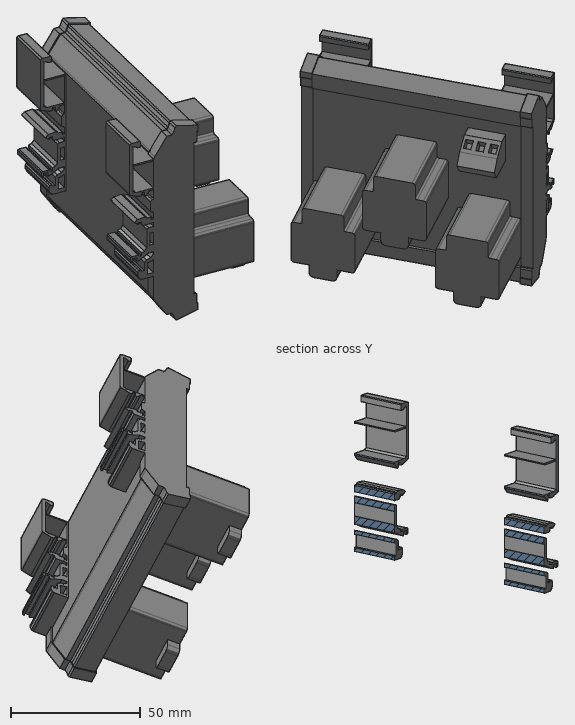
import cadquery as cq
import math

LENGTH = 93.4
HEIGHT = 86.8
CAP_THICKNESS = 4.7
CAP_FACE_Y = 17.65
LIP_Z = 33.7
TROUGH_BACK_Y = 0.7
CAP_INNER_X = LENGTH / 2 - CAP_THICKNESS

CAP_HALF_OUTLINE = [
    (0.0, 31.1), (0.5, 32.0), (5.8, 39.8), (7.9, 39.8), (8.6, 40.7), (9.2, 42.6), (9.9, HEIGHT / 2),
    (19.2, 41.1), (19.2, 38.3), (18.9, 38.2), (18.9, 34.2), (18.4, LIP_Z), (CAP_FACE_Y, LIP_Z),
]
TROUGH_HALF_OUTLINE = [
    (TROUGH_BACK_Y, 31.4), (1.0, 32.0), (6.35, 39.6), (8.2, 39.6), (8.9, 40.4), (9.4, 42.1),
    (10.1, 42.7), (18.8, 40.5), (18.8, LIP_Z), (CAP_FACE_Y, LIP_Z),
]

CLIP_LENGTH = 19.7
CLIP_BACK_Y = -10.5
CLIP_FOOT_Z = -21.1
HOOK_WALL = 1.5
HOOK_WEB_TOP_Z = 31.0
HOOK_WEB_THICKNESS = 0.7
HOOK_INNER_Y = CLIP_BACK_Y + HOOK_WALL

HOOK_OUTLINE = [
    (0.0, 18.3), (-7.75, 18.3), (-9.0, 19.0), (HOOK_INNER_Y, 39.0), (-7.9, 38.7), (-7.0, 38.1),
    (-5.7, 38.1), (-5.7, 40.35), (-6.1, 40.7), (-9.6, 40.7), (CLIP_BACK_Y, 40.2),
    (CLIP_BACK_Y, 18.4), (-10.3, 17.7), (-6.5, 16.25), (-5.4, 16.25), (-4.95, 17.5), (-4.0, 17.5),
    (-4.0, 15.9), (-3.5, 15.4), (-1.8, 17.5), (0.0, 17.65),
]
STOP_OUTLINE = [(0.0, 13.45), (-0.7, 13.3), (-1.4, 12.5), (-1.4, 8.2), (0.0, 7.4)]
FINGER_OUTLINE = [
    (0.0, 4.5), (-0.9, 4.5), (-0.9, 5.5), (-2.9, 5.6), (-3.0, 6.0), (-3.7, 6.35), (-7.0, 6.1),
    (-8.4, 5.0), (-6.5, 3.7), (-6.35, 4.5), (-5.3, 4.5), (-5.2, 3.6), (-4.6, 2.8), (0.0, 2.8),
]
BRACKET_OUTLINE = [
    (0.0, 1.2), (-2.15, 1.1), (-3.0, 0.7), (-3.0, -7.6), (-4.0, -8.9), (-5.2, -9.2),
    (-5.3, -10.5), (-6.2, -10.5), (-6.4, -9.8), (-9.5, -9.8), (-10.0, -10.2), (-10.0, -12.0),
    (-9.2, -12.5), (-9.1, -10.8), (-7.3, -10.8), (-7.3, -12.5), (-6.5, -12.3), (-2.15, -10.2),
    (0.0, -10.2),
]
BRACKET_WINDOW = [(0.0, -1.5), (-1.7, -1.5), (-1.7, -6.8), (0.0, -6.8)]
FOOT_OUTLINE = [
    (0.0, -11.1), (-1.3, -12.4), (-3.1, -13.0), (-4.0, -13.8), (-4.0, -17.5), (-5.2, -17.4),
    (-5.4, -16.8), (-6.35, -16.9), (-6.7, -17.7), (-6.7, -19.2), (-6.2, -20.55),
    (-5.3, CLIP_FOOT_Z), (0.0, CLIP_FOOT_Z),
]
FOOT_WINDOW = [(0.0, -13.8), (-2.7, -14.5), (-2.7, -19.4), (0.0, -19.4)]

BOARD_THICKNESS = 1.7

CONNECTOR_WIDTH = 25.8
CONNECTOR_HEIGHT = 26.6
CONNECTOR_DEPTH = 28.5
CONNECTOR_CROWN_WIDTH = 16.8
CONNECTOR_CROWN_HEIGHT = 7.6
CONNECTOR_CORNER_RADIUS = 1.2
CONNECTOR_STEP_RADIUS = 0.8
STEP_MARGIN = 0.5
CONNECTOR_TAB_WIDTH = 11.2
CONNECTOR_TAB_DROP = 5.6
CONNECTOR_TAB_THICKNESS = 5.1
CONNECTOR_TAB_RADIUS = 2.1
OUTER_CONNECTOR_X = CAP_INNER_X - CONNECTOR_WIDTH / 2
MIDDLE_CONNECTOR_X = 0.3
OUTER_CONNECTOR_TOP_Z = -3.4
MIDDLE_CONNECTOR_TOP_Z = 18.2
CONNECTOR_PLACES = [
    (-OUTER_CONNECTOR_X, OUTER_CONNECTOR_TOP_Z),
    (MIDDLE_CONNECTOR_X, MIDDLE_CONNECTOR_TOP_Z),
    (OUTER_CONNECTOR_X, OUTER_CONNECTOR_TOP_Z),
]

TERMINAL_X = -28.2
TERMINAL_WIDTH = 15.1
SLOPE_START = (22.6, 27.8)
SLOPE_END = (28.8, 23.9)
TERMINAL_NOSE = (32.3, 19.7)
TERMINAL_UNDERSIDE = (29.7, 15.5)
WIRE_COUNT = 3
WIRE_PITCH = 5.0
WIRE_HOLE_WIDTH = 3.0
WIRE_HOLE_LENGTH = 3.7
WIRE_HOLE_DEPTH = 3.9


def block(x_range, y_range, z_range):
    """Box spanning the given ranges."""
    size = [high - low for low, high in (x_range, y_range, z_range)]
    return cq.Workplane("XY").box(*size, centered=False).translate((x_range[0], y_range[0], z_range[0]))


def prism(outline, start_x, length):
    """Extrude a (y, z) outline along +X."""
    return cq.Workplane("YZ", origin=(start_x, 0, 0)).polyline(outline).close().extrude(length)


def mirrored_prism(half_outline, start_x, length):
    """Extrude an outline whose lower half mirrors the given upper half."""
    lower_half = [(y, -z) for y, z in reversed(half_outline)]
    return prism(half_outline + lower_half, start_x, length)


def clip(start_x):
    """Rail clip: hook, stop, finger, bracket and foot on a thin pad."""
    pad = block((start_x, start_x + CLIP_LENGTH), (0, TROUGH_BACK_Y), (CLIP_FOOT_Z, HOOK_WEB_TOP_Z))
    web = block(
        (start_x, start_x + CLIP_LENGTH),
        (HOOK_INNER_Y, 0),
        (HOOK_WEB_TOP_Z - HOOK_WEB_THICKNESS, HOOK_WEB_TOP_Z),
    )
    body = pad.union(web)
    for outline in (HOOK_OUTLINE, STOP_OUTLINE, FINGER_OUTLINE, BRACKET_OUTLINE, FOOT_OUTLINE):
        body = body.union(prism(outline, start_x, CLIP_LENGTH))
    for window in (BRACKET_WINDOW, FOOT_WINDOW):
        body = body.cut(prism(window, start_x, CLIP_LENGTH))
    return body


def board():
    """Circuit board lying between the end caps, flush with their face."""
    return block(
        (-CAP_INNER_X, CAP_INNER_X),
        (CAP_FACE_Y - BOARD_THICKNESS, CAP_FACE_Y),
        (-LIP_Z, LIP_Z),
    )


def build_housing():
    """Trough with an end cap and a rail clip at each end, recessed for the board."""
    housing = mirrored_prism(TROUGH_HALF_OUTLINE, -CAP_INNER_X, 2 * CAP_INNER_X)
    for cap_start in (-LENGTH / 2, CAP_INNER_X):
        housing = housing.union(mirrored_prism(CAP_HALF_OUTLINE, cap_start, CAP_THICKNESS))
    for clip_start in (-LENGTH / 2, LENGTH / 2 - CLIP_LENGTH):
        housing = housing.union(clip(clip_start))
    return housing.cut(board())


def connector(center_x, top_z):
    """Plug connector: a stepped block with a latch tab below its outer end."""
    half_width = CONNECTOR_WIDTH / 2
    half_crown = CONNECTOR_CROWN_WIDTH / 2
    shoulder_z = top_z - CONNECTOR_CROWN_HEIGHT
    bottom_z = top_z - CONNECTOR_HEIGHT
    end_y = CAP_FACE_Y + CONNECTOR_DEPTH
    base = block(
        (center_x - half_width, center_x + half_width), (CAP_FACE_Y, end_y), (bottom_z, shoulder_z)
    )
    crown = block(
        (center_x - half_crown, center_x + half_crown), (CAP_FACE_Y, end_y), (shoulder_z, top_z)
    )
    step_edges = cq.selectors.BoxSelector(
        (center_x - half_crown - STEP_MARGIN, CAP_FACE_Y, shoulder_z - STEP_MARGIN),
        (center_x + half_crown + STEP_MARGIN, end_y, shoulder_z + STEP_MARGIN),
    )
    body = base.edges("|Y").fillet(CONNECTOR_CORNER_RADIUS)
    body = body.union(crown.edges("|Y and >Z").fillet(CONNECTOR_CORNER_RADIUS))
    body = body.edges("|Y").edges(step_edges).fillet(CONNECTOR_STEP_RADIUS)
    tab = block(
        (center_x - CONNECTOR_TAB_WIDTH / 2, center_x + CONNECTOR_TAB_WIDTH / 2),
        (end_y - CONNECTOR_TAB_THICKNESS, end_y),
        (bottom_z - CONNECTOR_TAB_DROP, bottom_z),
    )
    return body.union(tab.edges("|Y and <Z").fillet(CONNECTOR_TAB_RADIUS))


def terminal_block():
    """Wire terminal with rectangular wire entries square to its sloped face."""
    outline = [
        (CAP_FACE_Y, SLOPE_START[1]), SLOPE_START, SLOPE_END, TERMINAL_NOSE,
        TERMINAL_UNDERSIDE, (CAP_FACE_Y, TERMINAL_UNDERSIDE[1]),
    ]
    body = prism(outline, TERMINAL_X - TERMINAL_WIDTH / 2, TERMINAL_WIDTH)
    slope_drop = math.atan2(SLOPE_START[1] - SLOPE_END[1], SLOPE_END[0] - SLOPE_START[0])
    slope_face = cq.Plane(
        origin=(TERMINAL_X, (SLOPE_START[0] + SLOPE_END[0]) / 2, (SLOPE_START[1] + SLOPE_END[1]) / 2),
        xDir=(1, 0, 0),
        normal=(0, math.sin(slope_drop), math.cos(slope_drop)),
    )
    holes = (
        cq.Workplane(slope_face)
        .rarray(WIRE_PITCH, 0.9, WIRE_COUNT, 1)
        .rect(WIRE_HOLE_WIDTH, WIRE_HOLE_LENGTH)
        .extrude(-WIRE_HOLE_DEPTH)
    )
    return body.cut(holes)


def build_board_assembly():
    """Circuit board carrying three connectors and a terminal block."""
    assembly = board().union(terminal_block())
    for center_x, top_z in CONNECTOR_PLACES:
        assembly = assembly.union(connector(center_x, top_z))
    return assembly


housing = build_housing()
board_assembly = build_board_assembly()
result = cq.Compound.makeCompound([housing.val(), board_assembly.val()])